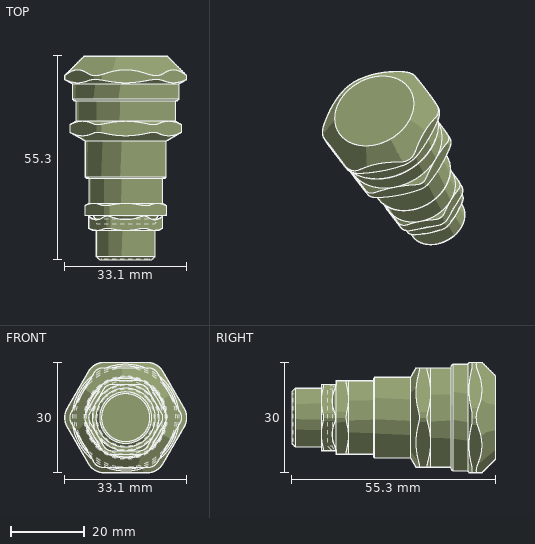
import cadquery as cq
import math

LENGTH = 55.25

CAP_END = 7.5
COLLAR_END = 12.1
SLEEVE_END = 17.6
GLAND_HEX_END = 23.05
BODY_END = 33.1
STEM_END = 39.9
FRONT_HEX_END = 43.2
LOCK_HEX_END = 47.2

CAP_REAR_DIAMETER = 22.6
COLLAR_DIAMETER = 29.0
SLEEVE_DIAMETER = 27.0
BODY_DIAMETER = 22.0
STEM_DIAMETER = 20.0
THREAD_DIAMETER = 16.0
NECK_DIAMETER = 17.45
TIP_RECESS_DIAMETER = 13.05

CAP_FLATS = 30.0
CAP_CORNER = 4.95
GLAND_FLATS = 27.0
GLAND_CORNER = 3.0
FRONT_FLATS = 20.0
FRONT_CORNER = 3.1
LOCK_FLATS = 18.0
LOCK_CORNER = 2.5

COLLAR_CHAMFER = 0.5
BODY_CHAMFER = 0.35
THREAD_CHAMFER = 1.0
CAP_CONE_ANGLE = 45
HEX_CONE_ANGLE = 60
TIP_RECESS_DEPTH = 0.35
DISH_DIAMETER = 20.3
DISH_DEPTH = 2.3
NECK_ROUNDING = 1.0


def along_axis(distance):
    """XZ workplane facing -Y at a distance from the rear end."""
    return cq.Workplane("XZ", origin=(0, LENGTH / 2 - distance, 0))


def revolve(points):
    """Turn an outline of (radius, distance from rear) points around Y."""
    outline = [(radius, LENGTH / 2 - distance) for radius, distance in points]
    return cq.Workplane("XY").polyline(outline).close().revolve(360, (0, 0, 0), (0, 1, 0))


def cylinder(diameter, start, end):
    return along_axis(start).circle(diameter / 2).extrude(end - start)


def hexagon(flats, corner_radius, start, end):
    """Hexagonal prism with two flats facing +Z and -Z and rounded corners."""
    across_corners = flats / math.cos(math.pi / 6)
    prism = along_axis(start).polygon(6, across_corners).extrude(end - start)
    return prism.edges("|Y").fillet(corner_radius)


def widening_cone(face, far_face, face_radius, angle):
    """Cone with face_radius at one end face, widening toward the far face."""
    far_radius = face_radius + abs(far_face - face) * math.tan(math.radians(angle))
    return revolve([(0, face), (face_radius, face), (far_radius, far_face), (0, far_face)])


def cap():
    prism = hexagon(CAP_FLATS, CAP_CORNER, 0, CAP_END)
    rear_cone = widening_cone(0, CAP_END, CAP_REAR_DIAMETER / 2, CAP_CONE_ANGLE)
    front_cone = widening_cone(CAP_END, 0, COLLAR_DIAMETER / 2, HEX_CONE_ANGLE)
    return prism.intersect(rear_cone).intersect(front_cone)


def gland_hex():
    prism = hexagon(GLAND_FLATS, GLAND_CORNER, SLEEVE_END, GLAND_HEX_END)
    rear_cone = widening_cone(SLEEVE_END, GLAND_HEX_END, SLEEVE_DIAMETER / 2, HEX_CONE_ANGLE)
    front_cone = widening_cone(GLAND_HEX_END, SLEEVE_END, BODY_DIAMETER / 2, HEX_CONE_ANGLE)
    return prism.intersect(rear_cone).intersect(front_cone)


def front_hex():
    """Hexagon chamfered on its rear face only."""
    prism = hexagon(FRONT_FLATS, FRONT_CORNER, STEM_END, FRONT_HEX_END)
    rear_cone = widening_cone(STEM_END, FRONT_HEX_END, STEM_DIAMETER / 2, HEX_CONE_ANGLE)
    return prism.intersect(rear_cone)


def lock_hex():
    """Hexagon chamfered in front, with a conical dish around a rounded neck behind."""
    prism = hexagon(LOCK_FLATS, LOCK_CORNER, FRONT_HEX_END, LOCK_HEX_END)
    front_cone = widening_cone(LOCK_HEX_END, FRONT_HEX_END, LOCK_FLATS / 2, HEX_CONE_ANGLE)
    neck_radius = NECK_DIAMETER / 2
    root_radius = neck_radius - NECK_ROUNDING
    rear = LENGTH / 2 - FRONT_HEX_END
    arc_reach = NECK_ROUNDING * math.sqrt(0.5)
    dish = (
        cq.Workplane("XY")
        .moveTo(DISH_DIAMETER / 2, rear)
        .lineTo(neck_radius, rear)
        .threePointArc((root_radius + arc_reach, rear - arc_reach), (root_radius, rear - NECK_ROUNDING))
        .lineTo(root_radius, rear - DISH_DEPTH)
        .close()
        .revolve(360, (0, 0, 0), (0, 1, 0))
    )
    return prism.intersect(front_cone).cut(dish)


collar = cylinder(COLLAR_DIAMETER, CAP_END, COLLAR_END).faces("<Y").chamfer(COLLAR_CHAMFER)
sleeve = cylinder(SLEEVE_DIAMETER, COLLAR_END, SLEEVE_END)
body = cylinder(BODY_DIAMETER, GLAND_HEX_END, BODY_END).faces("<Y").chamfer(BODY_CHAMFER)
stem = cylinder(STEM_DIAMETER, BODY_END, STEM_END)
thread = cylinder(THREAD_DIAMETER, LOCK_HEX_END, LENGTH).faces("<Y").chamfer(THREAD_CHAMFER)
tip_recess = cylinder(TIP_RECESS_DIAMETER, LENGTH - TIP_RECESS_DEPTH, LENGTH)

result = cap()
for section in (collar, sleeve, gland_hex(), body, stem, front_hex(), lock_hex(), thread):
    result = result.union(section)
result = result.cut(tip_recess)